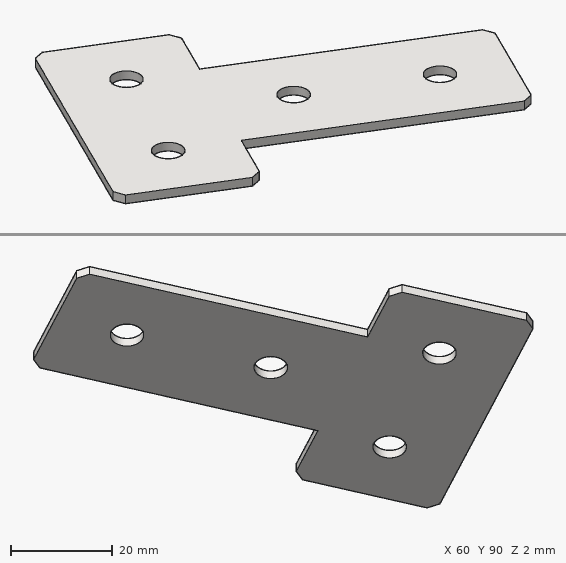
import cadquery as cq

pitch = 30.0
thickness = 2.0
corner_chamfer = 2.0
hole_diameter = 6.6

foot_width = 2 * pitch
foot_depth = pitch
stem_width = pitch
total_length = 3 * pitch

hole_centers = [
    (-pitch / 2, pitch / 2),
    (pitch / 2, pitch / 2),
    (0, 3 * pitch / 2),
    (0, 5 * pitch / 2),
]


def chamfered_plate(width, length):
    """Plate centred on X, starting at Y = 0, with all four corners cut off."""
    return (
        cq.Workplane("XY")
        .box(width, length, thickness, centered=(True, False, False))
        .edges("|Z")
        .chamfer(corner_chamfer)
    )


def t_plate():
    """T-shaped plate; the stem's lower corners are absorbed by the foot."""
    foot = chamfered_plate(foot_width, foot_depth)
    stem = chamfered_plate(stem_width, total_length)
    return foot.union(stem).clean()


def hole_cutters():
    """Through-hole cylinders at every hole centre."""
    return (
        cq.Workplane("XY")
        .pushPoints(hole_centers)
        .circle(hole_diameter / 2)
        .extrude(thickness)
    )


result = t_plate().cut(hole_cutters())